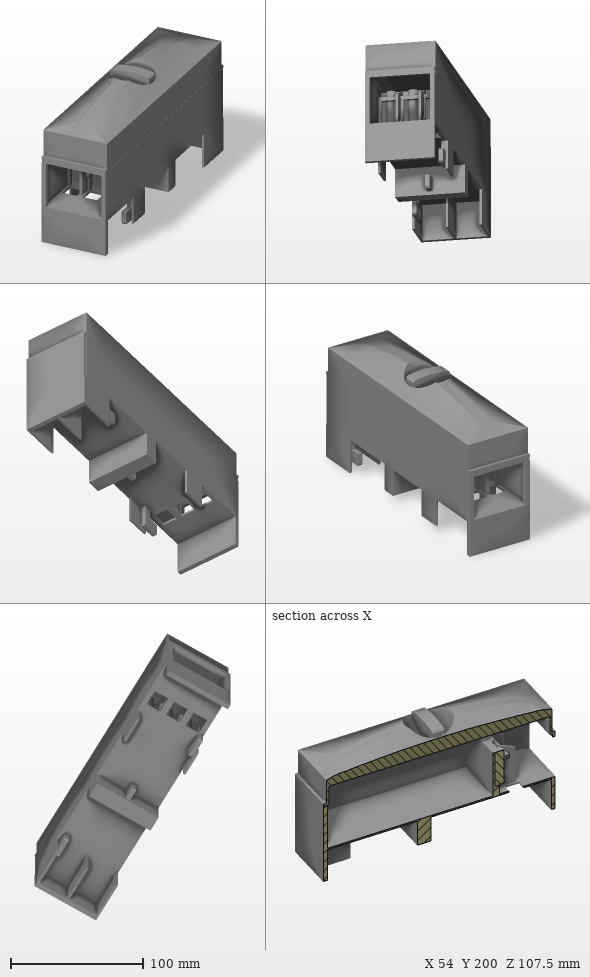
import cadquery as cq

WIDTH = 54.0
LENGTH = 200.0
HALF_W = WIDTH / 2
HALF_L = LENGTH / 2

SIDE_WALL = 1.8
END_WALL = 3.8
INNER_W = WIDTH - 2 * SIDE_WALL
INNER_L = LENGTH - 2 * END_WALL
BASE_TOP = 70.0
FLOOR_BOTTOM = 28.5
FLOOR_TOP = FLOOR_BOTTOM + SIDE_WALL
INNER_FOOT_BOTTOM = 6.2
BACK_FOOT_Y = 67.2
MIDDLE_FOOT_Y = (7.0, 19.0)
FRONT_FOOT_Y = (-52.8, -32.8)
FOOT_WEB_T = 1.8

WINDOW_W = 46.8
LIP_Y = 97.5
TONGUE_BOTTOM = 67.0
RELIEF = 0.2
BACK_STRIP_BOTTOM = 27.2
BACK_CORNER_Y = 96.8

POLE_PITCH = 17.0
POLES = (-POLE_PITCH, 0.0, POLE_PITCH)
OPENING_W = 12.0
OPENING_TOP = 61.0
OPENING_RADIUS = 1.0
PLATE_TOP = 64.0
PLATE_Y = -60.0
PLATE_T = 3.0
FLOOR_SLOT_Y = -72.5
BULKHEAD_Y = -52.0
BULKHEAD_T = 6.0
DIVIDER_X = 9.0
DIVIDER_T = 2.0
DIVIDER_Y = -70.0
DIVIDER_FRONT_TOP = 62.2
BAR_D = 4.5
BAR_Z = 43.2

POST_D = 8.0
POST_BOTTOM = 38.5
POST_TOP = BASE_TOP

CONTACT_T = 3.5
CONTACT_REACH = 9.2
CONTACT_ROOT = 6.0
CONTACT_BOTTOM = 9.0
CONTACT_TOP = 19.5
CONTACT_CHAMFER = 1.2
SIDE_CONTACT_X = INNER_W / 2 - CONTACT_T / 2
CONTACTS = (
    (-SIDE_CONTACT_X, BACK_FOOT_Y),
    (0.0, MIDDLE_FOOT_Y[0]),
    (SIDE_CONTACT_X, FRONT_FOOT_Y[0]),
)

FLANGE_TOP = 72.5
EAVES_Z = 93.5
CROWN_RISE = 14.5
RIDGE_X = 5.8
HIP_Y = 81.2
CHANNEL_W = 10.0
CHANNEL_RISE = 14.0
COVER_WALL = 2.5
CAVITY_TOP = 87.0
SEAM_H = 0.5
DISH_R = 20.0
DISH_Z = 110.5

KNOB_W = 10.5
KNOB_LENGTH = 33.0
KNOB_TOP = 107.5
KNOB_END_TOP = 105.8
KNOB_BEVEL = 1.5
KNOB_BEVEL_DROP = 1.5


def box(x_range, y_range, z_range):
    """Box between the given limits along each axis."""
    x0, x1 = x_range
    y0, y1 = y_range
    z0, z1 = z_range
    return cq.Workplane("XY").box(x1 - x0, y1 - y0, z1 - z0, centered=False).translate((x0, y0, z0))


def centred_box(width, length, z_range):
    """Box centred on the Z axis."""
    return box((-width / 2, width / 2), (-length / 2, length / 2), z_range)


def side_profile(x_range):
    """Workplane for sketching (Y, Z) outlines, with the distance to extrude them."""
    return cq.Workplane("YZ", origin=(x_range[0], 0, 0)), x_range[1] - x_range[0]


def base_shell():
    shell = centred_box(WIDTH, LENGTH, (0, BASE_TOP))
    shell = shell.cut(centred_box(INNER_W, INNER_L, (0, FLOOR_BOTTOM)))
    shell = shell.cut(centred_box(INNER_W, INNER_L, (FLOOR_TOP, BASE_TOP)))
    gaps = (
        (-INNER_L / 2, FRONT_FOOT_Y[0]),
        (FRONT_FOOT_Y[1], MIDDLE_FOOT_Y[0]),
        (MIDDLE_FOOT_Y[1], BACK_FOOT_Y),
    )
    across = (-HALF_W, HALF_W)
    for gap in gaps:
        shell = shell.cut(box(across, gap, (0, FLOOR_BOTTOM)))
    shell = shell.cut(box(across, (-INNER_L / 2, BACK_FOOT_Y), (0, INNER_FOOT_BOTTOM)))
    shell = shell.union(box(across, MIDDLE_FOOT_Y, (INNER_FOOT_BOTTOM, FLOOR_BOTTOM)))
    web_x = (-FOOT_WEB_T / 2, FOOT_WEB_T / 2)
    shell = shell.union(box(web_x, (BACK_FOOT_Y, INNER_L / 2), (0, FLOOR_BOTTOM)))
    window = box((-WINDOW_W / 2, WINDOW_W / 2), (-HALF_L, -INNER_L / 2), (FLOOR_TOP, BASE_TOP))
    return shell.cut(window)


def corner_reliefs():
    """Shallow steps at the vertical corners of the base."""
    reliefs = cq.Workplane("XY")
    corner_z = (TONGUE_BOTTOM, BASE_TOP)
    for x0, x1 in ((-HALF_W, -HALF_W + RELIEF), (HALF_W - RELIEF, HALF_W)):
        reliefs = reliefs.add(box((x0, x1), (-HALF_L, -LIP_Y), corner_z))
        reliefs = reliefs.add(box((x0, x1), (LIP_Y, HALF_L), (BACK_STRIP_BOTTOM, BASE_TOP)))
        reliefs = reliefs.add(box((x0, x1), (BACK_CORNER_Y, HALF_L), corner_z))
    front = box((-HALF_W, HALF_W), (-HALF_L, -HALF_L + RELIEF), corner_z)
    return reliefs.add(front).combine()


def terminal_plate():
    plate = box((-INNER_W / 2, INNER_W / 2), (PLATE_Y, PLATE_Y + PLATE_T), (FLOOR_TOP, PLATE_TOP))
    for x in POLES:
        left, right = x - OPENING_W / 2, x + OPENING_W / 2
        opening = box((left, right), (PLATE_Y, PLATE_Y + PLATE_T), (FLOOR_TOP, OPENING_TOP))
        plate = plate.cut(opening.edges("|Y and >Z").fillet(OPENING_RADIUS))
    return plate


def floor_slot(x):
    half = OPENING_W / 2
    return box((x - half, x + half), (FLOOR_SLOT_Y, PLATE_Y), (FLOOR_BOTTOM, FLOOR_TOP))


def divider(x):
    """Wall between poles, its top sloping up from the front to the bulkhead."""
    plane, thickness = side_profile((x - DIVIDER_T / 2, x + DIVIDER_T / 2))
    outline = [
        (DIVIDER_Y, FLOOR_TOP),
        (BULKHEAD_Y, FLOOR_TOP),
        (BULKHEAD_Y, BASE_TOP),
        (DIVIDER_Y, DIVIDER_FRONT_TOP),
    ]
    return plane.polyline(outline).close().extrude(thickness)


def cross_bar(x_range):
    """Round bar centred on the front face of the terminal plate."""
    plane, length = side_profile(x_range)
    return plane.center(PLATE_Y, BAR_Z).circle(BAR_D / 2).extrude(length)


def make_post(x):
    post = cq.Workplane("XY", origin=(x, BULKHEAD_Y, POST_BOTTOM))
    return post.circle(POST_D / 2).extrude(POST_TOP - POST_BOTTOM)


def make_contact(x, foot_y):
    """Hook reaching forward from a foot, on a shank that rises to the floor."""
    x_range = (x - CONTACT_T / 2, x + CONTACT_T / 2)
    hook = box(x_range, (foot_y - CONTACT_REACH, foot_y), (CONTACT_BOTTOM, CONTACT_TOP))
    hook = hook.faces("<Y").edges("<Z").chamfer(CONTACT_CHAMFER)
    shank = box(x_range, (foot_y, foot_y + CONTACT_ROOT), (CONTACT_BOTTOM, FLOOR_BOTTOM))
    return hook.union(shank)


def make_base(posts, contacts):
    base = base_shell().cut(corner_reliefs())
    bulkhead_y = (BULKHEAD_Y, BULKHEAD_Y + BULKHEAD_T)
    base = base.union(box((-INNER_W / 2, INNER_W / 2), bulkhead_y, (FLOOR_TOP, BASE_TOP)))
    base = base.union(terminal_plate())
    for x in POLES:
        base = base.cut(floor_slot(x))
    for x in (-DIVIDER_X, DIVIDER_X):
        base = base.union(divider(x))
    bar_inner = OPENING_W / 2
    bar_outer = POLE_PITCH - OPENING_W / 2
    for x_range in ((-bar_outer, -bar_inner), (bar_inner, bar_outer)):
        base = base.union(cross_bar(x_range))
    for seated in posts + contacts:
        base = base.cut(seated)
    return base


def arched_block(x_range, rise, z_bottom):
    """Block with a top arching between the eaves at the two ends."""
    plane, width = side_profile(x_range)
    outline = plane.moveTo(-LIP_Y, z_bottom).lineTo(-LIP_Y, EAVES_Z)
    outline = outline.threePointArc((0, EAVES_Z + rise), (LIP_Y, EAVES_Z))
    return outline.lineTo(LIP_Y, z_bottom).close().extrude(width)


def ridge_height(y):
    """Height of the ridge arc above the base plane."""
    radius = (LIP_Y**2 + CROWN_RISE**2) / (2 * CROWN_RISE)
    return EAVES_Z + CROWN_RISE - radius + (radius**2 - y**2) ** 0.5


def roof_side(side):
    """Ruled slope from the ridge arc down to the straight eaves on one side."""
    eaves = cq.Workplane("YZ", origin=(side * HALF_W, 0, 0))
    eaves = eaves.moveTo(-LIP_Y, CAVITY_TOP).lineTo(-LIP_Y, EAVES_Z).lineTo(LIP_Y, EAVES_Z)
    eaves = eaves.lineTo(LIP_Y, CAVITY_TOP).close()
    hip_z = ridge_height(HIP_Y)
    ridge = cq.Workplane("YZ", origin=(side * RIDGE_X, 0, 0))
    ridge = ridge.moveTo(-HIP_Y, CAVITY_TOP).lineTo(-HIP_Y, hip_z)
    ridge = ridge.threePointArc((0, ridge_height(0)), (HIP_Y, hip_z)).lineTo(HIP_Y, CAVITY_TOP).close()
    slope = cq.Solid.makeLoft([ridge.val(), eaves.val()], True)
    return cq.Workplane(obj=slope)


def roof_spine():
    """Arched strip along the ridge that widens to the corners at both hip ends."""
    quarter = [(RIDGE_X, HIP_Y), (HALF_W, LIP_Y)]
    right = [(x, -y) for x, y in reversed(quarter)] + quarter
    left = [(-x, -y) for x, y in right]
    plan = cq.Workplane("XY", origin=(0, 0, CAVITY_TOP)).polyline(right + left).close()
    plan = plan.extrude(CROWN_RISE + EAVES_Z)
    return arched_block((-HALF_W, HALF_W), CROWN_RISE, CAVITY_TOP).intersect(plan)


def ridge_channel():
    """Material removed between the two ridge edges; it fades out at the ends."""
    x_range = (-CHANNEL_W / 2, CHANNEL_W / 2)
    above = box(x_range, (-LIP_Y, LIP_Y), (EAVES_Z, EAVES_Z + 2 * CROWN_RISE))
    return above.cut(arched_block(x_range, CHANNEL_RISE, CAVITY_TOP))


def dish():
    return cq.Workplane("XY", origin=(0, 0, DISH_Z)).sphere(DISH_R)


def make_cover():
    cover = centred_box(WIDTH, 2 * LIP_Y, (BASE_TOP, EAVES_Z))
    cover = cover.union(centred_box(WIDTH, LENGTH, (BASE_TOP, FLANGE_TOP)))
    tongue_x = (-WINDOW_W / 2, WINDOW_W / 2)
    cover = cover.union(box(tongue_x, (-HALF_L, -LIP_Y), (TONGUE_BOTTOM, BASE_TOP)))
    cover = cover.union(roof_spine()).union(roof_side(1)).union(roof_side(-1))
    cover = cover.cut(ridge_channel()).cut(dish())
    cavity_w = WIDTH - 2 * COVER_WALL
    cavity_l = 2 * (LIP_Y - COVER_WALL)
    cover = cover.cut(centred_box(cavity_w, cavity_l, (BASE_TOP, CAVITY_TOP)))
    for x_range in ((-HALF_W, -HALF_W + RELIEF), (HALF_W - RELIEF, HALF_W)):
        seam = box(x_range, (-BACK_CORNER_Y, BACK_CORNER_Y), (BASE_TOP, BASE_TOP + SEAM_H))
        cover = cover.cut(seam)
    return cover


def make_knob():
    """Grip bar with an arched top and a round underside that rests in the dish."""
    half = KNOB_LENGTH / 2
    shoulder = half - KNOB_BEVEL
    bevel_z = KNOB_END_TOP - KNOB_BEVEL_DROP
    bottom = DISH_Z - DISH_R
    grip = cq.Workplane("XZ").moveTo(-half, bottom).lineTo(-half, bevel_z).lineTo(-shoulder, KNOB_END_TOP)
    grip = grip.threePointArc((0, KNOB_TOP), (shoulder, KNOB_END_TOP))
    grip = grip.lineTo(half, bevel_z).lineTo(half, bottom).close()
    return grip.extrude(KNOB_W / 2, both=True).intersect(dish())


terminal_posts = [make_post(x) for x in POLES]
busbar_contacts = [make_contact(x, foot_y) for x, foot_y in CONTACTS]
base = make_base(terminal_posts, busbar_contacts)
cover = make_cover()
knob = make_knob()

result = cq.Compound.makeCompound([
    base.solids().val(),
    cover.solids().val(),
    knob.solids().val(),
    *[post.solids().val() for post in terminal_posts],
    *[contact.solids().val() for contact in busbar_contacts],
])